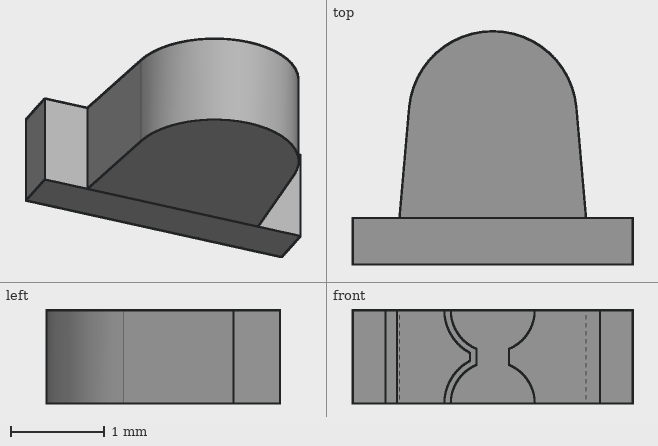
import cadquery as cq
import math

length = 3.0
depth = length * 5 / 6
height = length / 3

carrier_depth = length / 6
plate_thickness = 0.00015

lens_root_width = length * 2 / 3
lens_draft = math.radians(5)

end_pad_width = 0.35
stripe_width = 0.123
waist_radius = 0.45
waist_half_width = 0.175
border_width = 0.07

half_length = length / 2
half_height = height / 2
left_pad_edge = -half_length + end_pad_width
right_pad_edge = half_length - end_pad_width
stripe_edge = left_pad_edge + stripe_width


def make_lens():
    """Drafted sides running tangent into a round nose, standing on the carrier's +Y face."""
    half_root = lens_root_width / 2
    sine = math.sin(lens_draft)
    cosine = math.cos(lens_draft)
    centre_y = (depth - half_root * cosine - carrier_depth * sine) / (1 - sine)
    nose_radius = depth - centre_y
    tangent_x = nose_radius * cosine
    tangent_y = centre_y + nose_radius * sine
    return (
        cq.Workplane("XY", origin=(0, 0, -half_height))
        .moveTo(-half_root, carrier_depth)
        .lineTo(half_root, carrier_depth)
        .lineTo(tangent_x, tangent_y)
        .threePointArc((0, depth), (-tangent_x, tangent_y))
        .close()
        .extrude(height)
    )


def make_slab(x_start, x_end, y_start, y_end):
    """Full-height box between the given X and Y limits."""
    return (
        cq.Workplane("XY", origin=(x_start, y_start, 0))
        .box(x_end - x_start, y_end - y_start, height, centered=(False, False, True))
    )


def make_plate(x_start, x_end):
    """Full-height plate lying on the carrier's -Y face."""
    return make_slab(x_start, x_end, 0, plate_thickness)


def make_waist_region(radius, half_width):
    """Plate-thick region: half discs at the top and bottom edges, joined by an upright web."""
    corner_z = half_height - math.sqrt(radius**2 - half_width**2)
    mid_x = radius * math.sqrt(0.5)
    mid_z = half_height - mid_x
    return (
        cq.Workplane("XZ", origin=(0, plate_thickness, 0))
        .moveTo(-radius, half_height)
        .lineTo(radius, half_height)
        .threePointArc((mid_x, mid_z), (half_width, corner_z))
        .lineTo(half_width, -corner_z)
        .threePointArc((mid_x, -mid_z), (radius, -half_height))
        .lineTo(-radius, -half_height)
        .threePointArc((-mid_x, -mid_z), (-half_width, -corner_z))
        .lineTo(-half_width, corner_z)
        .threePointArc((-mid_x, mid_z), (-radius, half_height))
        .close()
        .extrude(plate_thickness)
    )


lens = make_lens()
carrier = make_slab(-half_length, half_length, plate_thickness, carrier_depth)

left_pad = make_plate(-half_length, left_pad_edge)
right_pad = make_plate(right_pad_edge, half_length)
stripe = make_plate(left_pad_edge, stripe_edge)

bare_waist = make_waist_region(waist_radius, waist_half_width)
bordered_waist = make_waist_region(waist_radius + border_width, waist_half_width + border_width)
left_field = make_plate(stripe_edge, 0).cut(bordered_waist)
border = make_plate(stripe_edge, 0).intersect(bordered_waist).cut(bare_waist)
right_field = make_plate(0, right_pad_edge).cut(bare_waist)

bodies = [lens, carrier, left_pad, stripe, left_field, border, right_field, right_pad]
result = cq.Compound.makeCompound([solid for body in bodies for solid in body.solids().vals()])